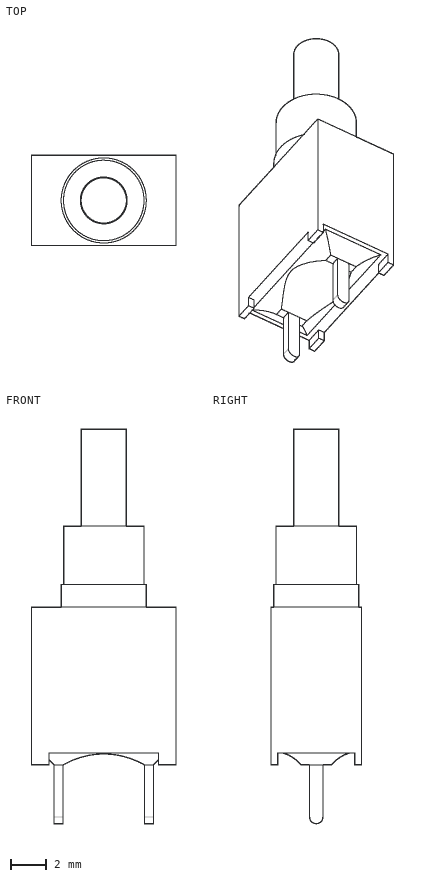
import cadquery as cq

case_length = 8.13
case_width = 5.08
case_height = 8.86
leg_height = 0.66
leg_length = 1.0
leg_width = 0.38

collar_diameter = 4.78
collar_height = 1.28
bushing_diameter = 4.52
bushing_top = 13.41
bore_diameter = 2.63

plunger_diameter = 2.54
plunger_top = 18.85

pin_pitch = 5.08
pin_thickness = 0.51
pin_width = 0.76
pin_exposed_length = 3.3

seal_foot_width = 1.7
seal_flare = 1.0
seal_flare_bulge = 0.11
seal_arch_clearance = 0.05

case_top = case_height
collar_top = case_top + collar_height


def cylinder(diameter, bottom, top):
    """Upright cylinder on the Z axis."""
    return cq.Workplane("XY").workplane(offset=bottom).circle(diameter / 2).extrude(top - bottom)


def upright_box(length, width, height):
    """Box centred on the Z axis with its bottom at Z = 0."""
    return cq.Workplane("XY").box(length, width, height, centered=(True, True, False))


def make_case():
    """Block with its underside notched in both directions, leaving the corner legs."""
    lengthwise_notch = upright_box(case_length, case_width - 2 * leg_width, leg_height)
    crosswise_notch = upright_box(case_length - 2 * leg_length, case_width, leg_height)
    return upright_box(case_length, case_width, case_height).cut(lengthwise_notch).cut(crosswise_notch)


def make_bushing():
    collar = cylinder(collar_diameter, case_top, collar_top)
    sleeve = cylinder(bushing_diameter, collar_top, bushing_top)
    bore = cylinder(bore_diameter, case_top, bushing_top)
    return collar.union(sleeve).cut(bore)


def make_plunger():
    return cylinder(plunger_diameter, case_top, plunger_top)


def seal_along_length():
    """Profile in XZ: a foot as thick as the pin at each end, joined by an arch."""
    foot_inner = (pin_pitch - pin_thickness) / 2
    foot_outer = (pin_pitch + pin_thickness) / 2
    flare_middle = foot_outer + seal_flare / 2
    flare_middle_z = leg_height / 2 + seal_flare_bulge
    flare_top = foot_outer + seal_flare
    return (
        cq.Workplane("XZ")
        .moveTo(-flare_top, leg_height)
        .threePointArc((-flare_middle, flare_middle_z), (-foot_outer, 0))
        .lineTo(-foot_inner, 0)
        .threePointArc((0, leg_height - seal_arch_clearance), (foot_inner, 0))
        .lineTo(foot_outer, 0)
        .threePointArc((flare_middle, flare_middle_z), (flare_top, leg_height))
        .close()
        .extrude(case_width / 2, both=True)
    )


def seal_across_width():
    """Profile in YZ: one foot with a concave flare on each side."""
    half_foot = seal_foot_width / 2
    flare_middle = half_foot + seal_flare / 2
    flare_middle_z = leg_height / 2 + seal_flare_bulge
    flare_top = half_foot + seal_flare
    return (
        cq.Workplane("YZ")
        .moveTo(-flare_top, leg_height)
        .threePointArc((-flare_middle, flare_middle_z), (-half_foot, 0))
        .lineTo(half_foot, 0)
        .threePointArc((flare_middle, flare_middle_z), (flare_top, leg_height))
        .close()
        .extrude(case_length / 2, both=True)
    )


def pin(x):
    """Pin from the case underside down to its round tip."""
    tip_radius = pin_width / 2
    tip_center_z = tip_radius - pin_exposed_length
    return (
        cq.Workplane("YZ", origin=(x, 0, 0))
        .moveTo(-tip_radius, leg_height)
        .lineTo(-tip_radius, tip_center_z)
        .threePointArc((0, -pin_exposed_length), (tip_radius, tip_center_z))
        .lineTo(tip_radius, leg_height)
        .close()
        .extrude(pin_thickness / 2, both=True)
    )


def make_terminal_base():
    """Seal and both pins in one piece, lying against the underside of the case."""
    base = seal_along_length().intersect(seal_across_width())
    for side in (-1, 1):
        base = base.union(pin(side * pin_pitch / 2))
    return base


case = make_case()
bushing = make_bushing()
plunger = make_plunger()
terminal_base = make_terminal_base()

bodies = [case, bushing, plunger, terminal_base]
result = cq.Compound.makeCompound([body.solids().val() for body in bodies])